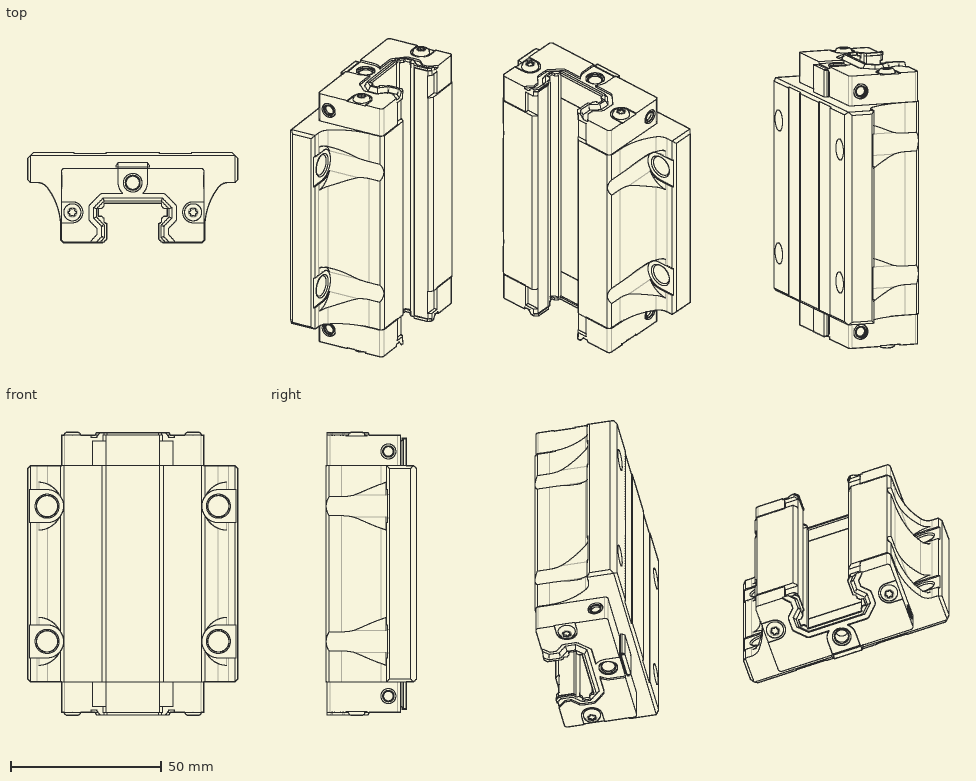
import math

import cadquery as cq


block_width = 70.0
block_height = 30.2
block_length = 72.0
overall_length = 94.3
cap_length = 10.1

block_end = block_length / 2
cap_end = block_end + cap_length
overall_end = overall_length / 2

half_width = block_width / 2
half_body = 24.0
flange_underside = 20.14
mount_chamfer = 2.0
edge_chamfer = 1.0
body_chamfer = 1.1
web_large_radius = 22.0
web_small_radius = 4.3
web_start = 5.24

relief_inner = 8.9
relief_outer = 19.5
relief_depth = 0.3

hole_spacing_x = 57.0
hole_spacing_z = 45.0
hole_diameter = 7.0
hole_mouth_diameter = 8.0
seat_radius = 5.5
seat_level = flange_underside + 0.4
pocket_radius = 8.0
pocket_offset_x = 31.5
pocket_level = flange_underside - 0.05

leg_half_gap = 8.9
block_floor = 13.9
cap_floor = 13.8
leg_chamfer = 1.3
leg_top = 6.5
shoulder_base = 7.0
shoulder_half_gap = 9.55
race_x = 10.0
race_y = 10.5
race_radius = 2.1

cap_half_width = 23.7
cap_bottom = 0.3
cap_top = 24.9
cap_corner_radius = 1.0
groove_floor = cap_end - 0.7
toe_outer = 13.35
toe_depth = 1.5
toe_lip = 1.9

port_height = 20.1
port_diameter = 4.4
port_mouth_diameter = 5.0
port_counterbore_diameter = 6.2
port_counterbore_depth = 0.5
port_depth = 6.0
port_pad_half_width = 4.87

plug_height = 20.8
plug_z = 40.7
plug_recess_diameter = 5.0
plug_face_diameter = 3.8
plug_pit_diameter = 3.2
plug_depth = 0.8
plug_face_depth = 0.15

tab_bottom = 25.4
tab_top = 26.8
tab_half_width = 5.5
tab_face_half_width = 4.87
tab_chamfer_height = 0.9
tab_end = 45.2
tab_flank_end = 44.9
neck_end = 44.3

seal_end = 47.0
seal_half_gap = 8.6
seal_floor = 13.2
notch_half_gap = 11.45
notch_bottom = 9.0
notch_top = 11.5
notch_chamfer = 0.8
seal_taper = 30.0
lip_foot_x = 12.4
lip_leg_x = 10.35
lip_leg_bottom = 2.2
lip_leg_top = 5.6
lip_race_x = 13.0
lip_race_bottom = 8.3
lip_race_top = 11.8
lip_roof_x = 9.9
lip_roof = 14.95
groove_width = 1.6

screw_x = 20.1
screw_height = 10.26
screw_seat_width = 7.0
screw_seat_depth = 0.3
head_diameter = 5.7
head_rim_diameter = 3.2
socket_diameter = 2.1
socket_reach = 2.8
socket_lobe_diameter = 0.7
socket_lobes = 6
socket_depth = 0.6

overrun = 4.0


def prism(points, z_start, z_end):
    """Closed polygon in XY, extruded from z_start to z_end."""
    outline = cq.Workplane("XY").workplane(offset=z_start).polyline(points).close()
    return outline.extrude(z_end - z_start)


def box(x_range, y_range, z_range):
    """Axis-aligned box from its limits on each axis."""
    size = [high - low for low, high in (x_range, y_range, z_range)]
    corner = cq.Vector(x_range[0], y_range[0], z_range[0])
    return cq.Workplane(cq.Solid.makeBox(*size, corner))


def rod(diameter, start, direction, length):
    """Cylinder from a start point along a direction."""
    start_point = cq.Vector(*start)
    return cq.Workplane(cq.Solid.makeCylinder(diameter / 2, length, start_point, cq.Vector(*direction)))


def cone(diameter_start, diameter_end, start, direction, length):
    """Truncated cone from a start point along a direction."""
    solid = cq.Solid.makeCone(
        diameter_start / 2, diameter_end / 2, length, cq.Vector(*start), cq.Vector(*direction)
    )
    return cq.Workplane(solid)


def mirrored(right_half):
    """Complete a half outline by reflecting it about X = 0."""
    return right_half + [(-x, y) for x, y in reversed(right_half)]


def leg_edge(half_gap):
    """Right-hand edge of the rail space along a leg, up to the shoulder above it."""
    return [
        (half_gap + leg_chamfer, -overrun),
        (half_gap + leg_chamfer, 0),
        (half_gap, leg_chamfer),
        (half_gap, leg_top),
        (shoulder_half_gap, shoulder_base),
    ]


def channel(floor, z_start, z_end):
    """Space taken by the rail: open at Y = 0, with a round ball race in each side."""
    right_half = leg_edge(leg_half_gap) + [(shoulder_half_gap, floor)]
    space = prism(mirrored(right_half), z_start, z_end)
    for side in (-1, 1):
        race_start = (side * race_x, race_y, z_start)
        space = space.union(rod(2 * race_radius, race_start, (0, 0, 1), z_end - z_start))
    return space


def seal_opening():
    """Opening in the seal, close to the rail and with an angular notch at each race."""
    right_half = leg_edge(seal_half_gap) + [
        (shoulder_half_gap, notch_bottom - notch_chamfer),
        (shoulder_half_gap + notch_chamfer, notch_bottom),
        (notch_half_gap, notch_bottom),
        (notch_half_gap, notch_top),
        (shoulder_half_gap + notch_chamfer, notch_top),
        (shoulder_half_gap, notch_top + notch_chamfer),
        (shoulder_half_gap, seal_floor),
    ]
    return prism(mirrored(right_half), groove_floor, seal_end)


def block_section():
    """Cross-section of the block: flange, curved webs and straight legs."""
    large_x = half_body + web_large_radius
    small_y = flange_underside - web_small_radius
    rise = small_y - web_start
    run = math.sqrt((web_large_radius - web_small_radius) ** 2 - rise**2)
    small_x = large_x - run
    joint_angle = math.atan2(rise, run)

    def large_point(angle):
        return (
            large_x - web_large_radius * math.cos(angle),
            web_start + web_large_radius * math.sin(angle),
        )

    def small_point(angle):
        return (
            small_x - web_small_radius * math.cos(angle),
            small_y + web_small_radius * math.sin(angle),
        )

    half = (
        cq.Workplane("XY")
        .workplane(offset=-block_end)
        .moveTo(0, 0)
        .lineTo(half_body - body_chamfer, 0)
        .lineTo(half_body, body_chamfer)
        .lineTo(half_body, web_start)
        .threePointArc(large_point(joint_angle / 2), large_point(joint_angle))
        .threePointArc(
            small_point((joint_angle + math.pi / 2) / 2),
            (small_x, flange_underside),
        )
        .lineTo(half_width - edge_chamfer, flange_underside)
        .lineTo(half_width, flange_underside + edge_chamfer)
        .lineTo(half_width, block_height - mount_chamfer)
        .lineTo(half_width - mount_chamfer, block_height)
        .lineTo(0, block_height)
        .close()
        .extrude(block_length)
    )
    return half.union(half.mirror("YZ"))


def end_edge_limits():
    """Envelope that chamfers the block's end edges at its sides and mounting face."""
    inner_x = half_width - edge_chamfer
    inner_z = block_end - edge_chamfer
    plan = [
        (half_width, -inner_z),
        (half_width, inner_z),
        (inner_x, block_end),
        (-inner_x, block_end),
        (-half_width, inner_z),
        (-half_width, -inner_z),
        (-inner_x, -block_end),
        (inner_x, -block_end),
    ]
    sides = cq.Workplane("XZ").polyline(plan).close().extrude(-block_height)
    profile = [
        (0, -block_end),
        (block_height - edge_chamfer, -block_end),
        (block_height, -inner_z),
        (block_height, inner_z),
        (block_height - edge_chamfer, block_end),
        (0, block_end),
    ]
    face = cq.Workplane("YZ").polyline(profile).close().extrude(half_width, both=True)
    return sides.intersect(face)


def mounting_hole_cut(side, z):
    """Flange hole with its flat seat, the seat's slot and the wrench pocket."""
    x = side * hole_spacing_x / 2
    outside_x = side * (half_width + overrun)
    up = (0, 1, 0)
    hole = rod(hole_diameter, (x, 0, z), up, block_height)
    mouth_depth = (hole_mouth_diameter - hole_diameter) / 2
    mouth = cone(hole_mouth_diameter, hole_diameter, (x, seat_level, z), up, mouth_depth)
    seat = rod(2 * seat_radius, (x, 0, z), up, seat_level)
    slot = box(sorted((x, outside_x)), (0, seat_level), (z - seat_radius, z + seat_radius))
    pocket = rod(2 * pocket_radius, (side * pocket_offset_x, 0, z), up, pocket_level)
    return hole.union(mouth).union(seat).union(slot).union(pocket)


def make_block():
    block = block_section().intersect(end_edge_limits())
    block = block.cut(channel(block_floor, -block_end, block_end))
    relief_y = (block_height - relief_depth, block_height)
    for side in (-1, 1):
        relief_x = sorted((side * relief_inner, side * relief_outer))
        block = block.cut(box(relief_x, relief_y, (-block_end, block_end)))
        for z in (-hole_spacing_z / 2, hole_spacing_z / 2):
            block = block.cut(mounting_hole_cut(side, z))
    return block


def seal_outline():
    """Outline at the foot of the seal lip, following the rail."""
    right_half = [
        (lip_foot_x, -overrun),
        (lip_foot_x, 0),
        (lip_leg_x, lip_leg_bottom),
        (lip_leg_x, lip_leg_top),
        (lip_race_x, lip_race_bottom),
        (lip_race_x, lip_race_top),
        (lip_roof_x, lip_roof),
    ]
    return cq.Workplane("XY").workplane(offset=groove_floor).polyline(mirrored(right_half)).close()


def make_seal():
    """Lip around the rail with a sloping outer flank, standing in the cap's groove."""
    seal = seal_outline().extrude(seal_end - groove_floor, taper=seal_taper)
    seal = seal.cut(channel(cap_floor, groove_floor, cap_end))
    seal = seal.cut(seal_opening())
    below = box((-half_width, half_width), (-2 * overrun, cap_bottom), (groove_floor, seal_end))
    return seal.cut(below)


def port_cut():
    """Grease port in the cap end, with a sunken pad open to the mounting side."""
    inward = (0, 0, -1)
    pad_depth = cap_end - groove_floor
    pad = rod(2 * port_pad_half_width, (0, port_height, cap_end), inward, pad_depth)
    pad = pad.union(
        box((-port_pad_half_width, port_pad_half_width), (port_height, cap_top), (groove_floor, cap_end))
    )
    counterbore = rod(
        port_counterbore_diameter, (0, port_height, groove_floor), inward, port_counterbore_depth
    )
    start = (0, port_height, groove_floor - port_counterbore_depth)
    bore = rod(port_diameter, start, inward, port_depth)
    mouth_depth = (port_mouth_diameter - port_diameter) / 2
    mouth = cone(port_mouth_diameter, port_diameter, start, inward, mouth_depth)
    return pad.union(counterbore).union(bore).union(mouth)


def plug_cut(side):
    """Recess around a tapered plug in the side of the cap, with a pit in the plug."""
    inward = (-side, 0, 0)
    recess = rod(plug_recess_diameter, (side * cap_half_width, plug_height, plug_z), inward, plug_depth)
    face_point = (side * (cap_half_width - plug_face_depth), plug_height, plug_z)
    plug = cone(plug_face_diameter, plug_recess_diameter, face_point, inward, plug_depth - plug_face_depth)
    pit = rod(plug_pit_diameter, face_point, inward, plug_depth)
    return recess.cut(plug).union(pit)


def screw_seat_cut(side):
    """Shallow seat under a screw head, open to the side of the cap."""
    seat_floor = cap_end - screw_seat_depth
    x = side * screw_x
    radius = screw_seat_width / 2
    seat = rod(screw_seat_width, (x, screw_height, seat_floor), (0, 0, 1), screw_seat_depth)
    opening = box(
        sorted((x, side * half_body)),
        (screw_height - radius, screw_height + radius),
        (seat_floor, cap_end),
    )
    return seat.union(opening)


def make_screw(side):
    """Domed screw head with a six-lobed socket."""
    seat_floor = cap_end - screw_seat_depth
    base = head_diameter / 2
    rim = head_rim_diameter / 2
    height = overall_end - seat_floor
    middle = math.pi / 4
    middle_point = (rim + (base - rim) * math.cos(middle), height * math.sin(middle))
    head = (
        cq.Workplane("XZ")
        .lineTo(base, 0)
        .threePointArc(middle_point, (rim, height))
        .lineTo(0, height)
        .close()
        .revolve(360, (0, 0, 0), (0, 1, 0))
    )
    socket_floor = height - socket_depth
    head = head.cut(rod(socket_diameter, (0, 0, socket_floor), (0, 0, 1), socket_depth))
    lobe_circle = (socket_reach - socket_lobe_diameter) / 2
    for index in range(socket_lobes):
        angle = 2 * math.pi * index / socket_lobes
        point = (lobe_circle * math.cos(angle), lobe_circle * math.sin(angle), socket_floor)
        head = head.cut(rod(socket_lobe_diameter, point, (0, 0, 1), socket_depth))
    return head.translate((side * screw_x, screw_height, seat_floor))


def make_tab():
    """Chamfered strip on a short neck, on the mounting side of the cap."""
    right_half = [
        (tab_half_width, tab_bottom),
        (tab_half_width, tab_top - tab_chamfer_height),
        (tab_face_half_width, tab_top),
    ]
    flanks = prism(mirrored(right_half), block_end, tab_flank_end)
    strip = box((-tab_face_half_width, tab_face_half_width), (tab_bottom, tab_top), (block_end, tab_end))
    neck = box((-tab_face_half_width, tab_face_half_width), (cap_top, tab_bottom), (block_end, neck_end))
    return flanks.union(strip).union(neck)


def make_end():
    """Complete end assembly for the +Z end."""
    cap = box((-cap_half_width, cap_half_width), (cap_bottom, cap_top), (block_end, cap_end))
    cap = cap.edges("|Z").fillet(cap_corner_radius)
    cap = cap.cut(channel(cap_floor, block_end, cap_end))
    cap = cap.cut(seal_outline().offset2D(groove_width, "arc").extrude(cap_end - groove_floor))
    cap = cap.cut(port_cut())
    for side in (-1, 1):
        toe_x = sorted((side * leg_half_gap, side * toe_outer))
        cap = cap.cut(box(toe_x, (0, toe_depth), (block_end, cap_end - toe_lip)))
        cap = cap.cut(plug_cut(side))
        cap = cap.cut(screw_seat_cut(side))
        cap = cap.union(make_screw(side))
    return cap.union(make_seal()).union(make_tab())


end = make_end()
result = make_block().union(end).union(end.mirror("XY"))